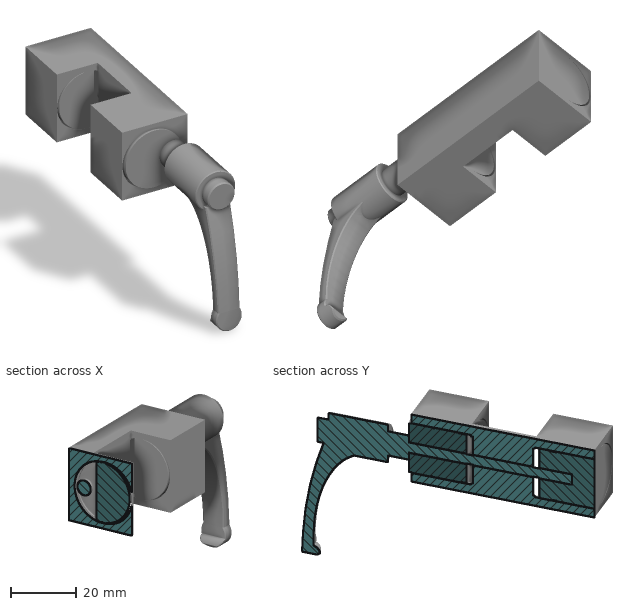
import cadquery as cq


FRAME_LENGTH = 60.0
FRAME_HEIGHT = 24.0
FRAME_WIDTH = 23.0
FRAME_BACK = 5.5
SLOT_WIDTH = 21.0
WEB_THICKNESS = 8.65
JAW_LENGTH = (FRAME_LENGTH - SLOT_WIDTH) / 2
FRAME_FRONT = FRAME_BACK - FRAME_WIDTH
SLOT_FLOOR = FRAME_BACK - WEB_THICKNESS

BORE_RADIUS = 10.0
PAD_RADIUS = 10.0
PAD_Y = -6.65
PAD_OFFSET = 0.7
BORE_Y = PAD_Y - PAD_OFFSET
WEB_RECESS = 0.6
BORE_DEPTH = JAW_LENGTH + WEB_RECESS

PAD_PROTRUSION = 0.75
RELIEF_DEPTH = 1.4
RELIEF_STEP = 1.35
RELIEF_Y = SLOT_FLOOR - RELIEF_STEP

ROD_RADIUS = 2.5
ROD_ENGAGEMENT = 12.0
ROD_START = JAW_LENGTH - ROD_ENGAGEMENT

SHAFT_RADIUS = 4.75
SHAFT_START = FRAME_LENGTH + PAD_PROTRUSION
SHAFT_END = 90.8
SHAFT_CHAMFER = 0.4
HUB_RADIUS = 7.0
HUB_START = 67.5
HUB_END = 87.1
HUB_CHAMFER = 0.3

ARM_END_Z = -38.0
ARM_INNER_X = 91.85
ARM_INNER_TOP_X = 74.0
ARM_INNER_TOP_Z = -5.6
ARM_TOP_Z = -4.0
ARM_OUTER_TOP_X = 88.6
ARM_OUTER_MID = (93.6, -22.5)
ARM_OUTER_X = 95.5
ARM_HALF_WIDTH_TOP = 4.3
ARM_HALF_WIDTH_END = 3.8
ARM_EDGE_CHAMFER = 0.35

TIP_RADIUS = 4.5
TIP_BOTTOM_Z = -45.0
TIP_CENTER_Z = TIP_BOTTOM_Z + TIP_RADIUS
TIP_TOP_Z = ARM_END_Z
TIP_OUTER_X = 95.82
TOE_TOP_Z = -41.5
TOE_MID = (90.5, -42.3)
TOE_NOSE = (89.75, -43.7)
TOE_BOTTOM_X = 90.9
TIP_CHAMFER = 0.35


def cylinder_x(start, end, radius, y=0.0, z=0.0):
    """Cylinder along X between two stations."""
    return cq.Workplane("YZ", origin=(start, y, z)).circle(radius).extrude(end - start)


def box_between(x_range, y_range, z_range):
    """Box given by its limits along each axis."""
    size = [high - low for low, high in (x_range, y_range, z_range)]
    corner = (x_range[0], y_range[0], z_range[0])
    return cq.Workplane("XY", origin=corner).box(*size, centered=False)


FULL_HEIGHT = (-FRAME_HEIGHT / 2, FRAME_HEIGHT / 2)


def make_frame():
    """U-shaped block bored through both jaws, with a hole for the rod in the web."""
    slot_end = FRAME_LENGTH - JAW_LENGTH
    frame = box_between((0, FRAME_LENGTH), (FRAME_FRONT, FRAME_BACK), FULL_HEIGHT)
    frame = frame.cut(box_between((JAW_LENGTH, slot_end), (FRAME_FRONT, SLOT_FLOOR), FULL_HEIGHT))
    for bore_start in (0, FRAME_LENGTH - BORE_DEPTH):
        frame = frame.cut(cylinder_x(bore_start, bore_start + BORE_DEPTH, BORE_RADIUS, BORE_Y))
    for seat_start in (0, slot_end):
        frame = frame.cut(cylinder_x(seat_start, seat_start + JAW_LENGTH, PAD_RADIUS, PAD_Y))
    return frame.cut(cylinder_x(JAW_LENGTH, slot_end, ROD_RADIUS))


def make_pad(start, end, relief_start):
    """Cylindrical jaw pad, relieved near the web on its slot side and holed for the rod."""
    pad = cylinder_x(start, end, PAD_RADIUS, PAD_Y)
    relief = box_between((relief_start, relief_start + RELIEF_DEPTH), (RELIEF_Y, FRAME_BACK), FULL_HEIGHT)
    rod_hole = cylinder_x(max(start, ROD_START), end, ROD_RADIUS)
    return pad.cut(relief).cut(rod_hole)


def make_arm():
    """Curved arm that narrows in width toward the tip."""
    profile = (
        cq.Workplane("XZ", origin=(0, HUB_RADIUS, 0))
        .moveTo(ARM_INNER_X, ARM_END_Z)
        .ellipseArc(
            ARM_INNER_X - ARM_INNER_TOP_X, ARM_INNER_TOP_Z - ARM_END_Z, 0, 90, startAtCurrent=True
        )
        .lineTo(ARM_INNER_TOP_X, ARM_TOP_Z)
        .lineTo(ARM_OUTER_TOP_X, ARM_TOP_Z)
        .threePointArc(ARM_OUTER_MID, (ARM_OUTER_X, ARM_END_Z))
        .close()
        .extrude(2 * HUB_RADIUS)
    )
    taper = (
        cq.Workplane("YZ")
        .moveTo(-ARM_HALF_WIDTH_TOP, ARM_TOP_Z)
        .lineTo(ARM_HALF_WIDTH_TOP, ARM_TOP_Z)
        .lineTo(ARM_HALF_WIDTH_END, ARM_END_Z)
        .lineTo(-ARM_HALF_WIDTH_END, ARM_END_Z)
        .close()
        .extrude(TIP_OUTER_X)
    )
    arm = profile.intersect(taper)
    return arm.edges("%ELLIPSE or %BSPLINE").chamfer(ARM_EDGE_CHAMFER)


def make_tip():
    """Round tip at the end of the arm, with a rounded toe on the inner side."""
    side = (
        cq.Workplane("XZ", origin=(0, TIP_RADIUS, 0))
        .moveTo(ARM_INNER_X, TIP_TOP_Z)
        .lineTo(ARM_INNER_X, TOE_TOP_Z)
        .threePointArc(TOE_MID, TOE_NOSE)
        .lineTo(TOE_BOTTOM_X, TIP_BOTTOM_Z)
        .lineTo(TIP_OUTER_X, TIP_BOTTOM_Z)
        .lineTo(ARM_OUTER_X, TIP_TOP_Z)
        .close()
        .extrude(2 * TIP_RADIUS)
    )
    tip = side.intersect(cylinder_x(0, TIP_OUTER_X, TIP_RADIUS, z=TIP_CENTER_Z))
    return tip.edges("not |Y").edges("not %LINE").chamfer(TIP_CHAMFER)


def make_lever():
    """Clamping lever: rod, shaft, hub and arm in one piece."""
    rod = cylinder_x(ROD_START, SHAFT_START, ROD_RADIUS)
    shaft = cylinder_x(SHAFT_START, SHAFT_END, SHAFT_RADIUS).faces(">X").chamfer(SHAFT_CHAMFER)
    hub = cylinder_x(HUB_START, HUB_END, HUB_RADIUS).faces("<X or >X").chamfer(HUB_CHAMFER)
    return shaft.union(rod).union(hub).union(make_arm()).union(make_tip())


frame = make_frame()
left_pad = make_pad(0, JAW_LENGTH, JAW_LENGTH - RELIEF_DEPTH)
right_pad = make_pad(FRAME_LENGTH - JAW_LENGTH, SHAFT_START, FRAME_LENGTH - JAW_LENGTH)
lever = make_lever()

result = cq.Compound.makeCompound([frame.val(), left_pad.val(), right_pad.val(), lever.val()])